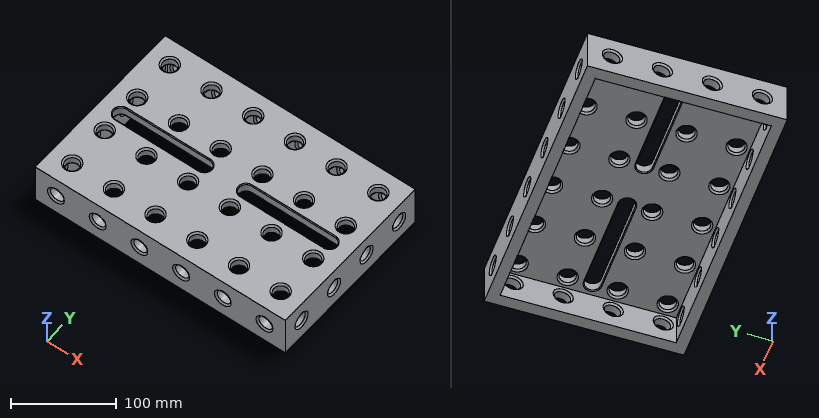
import cadquery as cq

LENGTH = 300.0
COLUMNS = 6
ROWS = 4
PITCH = LENGTH / COLUMNS
WIDTH = ROWS * PITCH
HEIGHT = PITCH

WALL = 12.0

HOLE_DIAMETER = 16.2
HOLE_CHAMFER = 1.95

SLOT_WIDTH = HOLE_DIAMETER
SLOT_LENGTH = 2 * PITCH + SLOT_WIDTH
SLOT_CHAMFER = 1.0
SLOT_SPACING = LENGTH / 2


def centred_positions(count):
    """Positions of a row of holes, one pitch apart and centred on zero."""
    return [(i - (count - 1) / 2) * PITCH for i in range(count)]


def hollow_box():
    """Box with four side walls and a top, open at the bottom."""
    outside = cq.Workplane("XY").box(LENGTH, WIDTH, HEIGHT)
    hollow = cq.Workplane("XY").box(LENGTH - 2 * WALL, WIDTH - 2 * WALL, HEIGHT)
    return outside.cut(hollow.translate((0, 0, -WALL)))


def hole_cutter(face_point, inward):
    """Hole through one wall, countersunk at its outer and inner faces."""
    radius = HOLE_DIAMETER / 2
    rim_radius = radius + HOLE_CHAMFER
    outer_centre = cq.Vector(*face_point)
    direction = cq.Vector(*inward)
    inner_centre = outer_centre + direction * WALL
    bore = cq.Solid.makeCylinder(radius, WALL, outer_centre, direction)
    outer_sink = cq.Solid.makeCone(rim_radius, radius, HOLE_CHAMFER, outer_centre, direction)
    inner_sink = cq.Solid.makeCone(rim_radius, radius, HOLE_CHAMFER, inner_centre, -direction)
    return bore.fuse(outer_sink, inner_sink)


def all_holes():
    """Hole grid in the top and a row of holes in each side wall."""
    column_places = centred_positions(COLUMNS)
    row_places = centred_positions(ROWS)
    cutters = []
    for x in column_places:
        for y in row_places:
            cutters.append(hole_cutter((x, y, HEIGHT / 2), (0, 0, -1)))
    for side in (-1, 1):
        for x in column_places:
            cutters.append(hole_cutter((x, side * WIDTH / 2, 0), (0, -side, 0)))
        for y in row_places:
            cutters.append(hole_cutter((side * LENGTH / 2, y, 0), (-side, 0, 0)))
    return cutters


def slot_cutter(x):
    """Long slot through the top wall, chamfered at its upper and lower edges."""
    upper = cq.Workplane("XY", origin=(x, 0, HEIGHT / 2))
    lower = upper.workplane(offset=-WALL)
    rim_length = SLOT_LENGTH + 2 * SLOT_CHAMFER
    rim_width = SLOT_WIDTH + 2 * SLOT_CHAMFER
    opening = upper.slot2D(SLOT_LENGTH, SLOT_WIDTH).extrude(-WALL)
    upper_rim = upper.slot2D(rim_length, rim_width).extrude(-SLOT_CHAMFER, taper=45)
    lower_rim = lower.slot2D(rim_length, rim_width).extrude(SLOT_CHAMFER, taper=45)
    return opening.union(upper_rim).union(lower_rim).val()


slots = [slot_cutter(side * SLOT_SPACING / 2) for side in (-1, 1)]
openings = cq.Compound.makeCompound(all_holes() + slots)
result = hollow_box().cut(cq.Workplane(obj=openings))